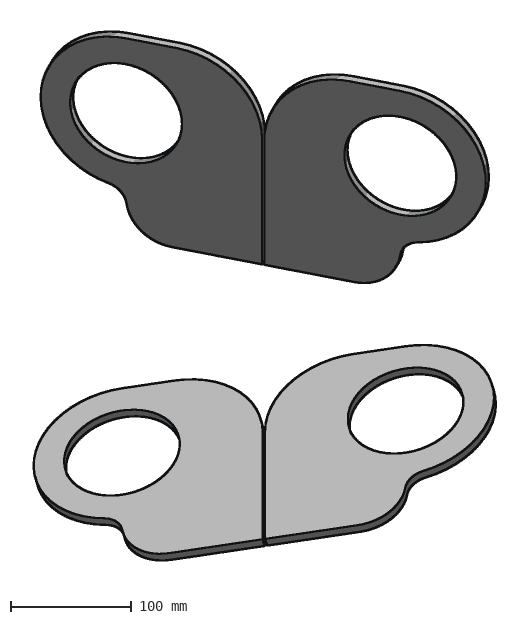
import cadquery as cq
import math

overall_width = 390.0
overall_height = 200.0
thickness = 8.0
gap = 2.0
lobe_radius = 75.0
hole_diameter = 98.0
foot_radius = 40.0
neck_radius = 20.0

inner_x = -gap / 2
lobe_x = -overall_width / 2 + lobe_radius
shoulder_x = inner_x - lobe_radius
lobe_z = overall_height - lobe_radius

foot_x = lobe_x + foot_radius
foot_z = foot_radius

center_distance = math.hypot(foot_x - lobe_x, foot_z - lobe_z)
lobe_to_neck = lobe_radius + neck_radius
foot_to_neck = foot_radius + neck_radius
angle_to_foot = math.atan2(foot_z - lobe_z, foot_x - lobe_x)
angle_at_lobe = math.acos(
    (lobe_to_neck**2 + center_distance**2 - foot_to_neck**2) / (2 * lobe_to_neck * center_distance)
)
neck_angle = angle_to_foot - angle_at_lobe
neck_x = lobe_x + lobe_to_neck * math.cos(neck_angle)
neck_z = lobe_z + lobe_to_neck * math.sin(neck_angle)
foot_angle = math.atan2(foot_z - neck_z, foot_x - neck_x)


def point_on_circle(x, z, radius, angle):
    return (x + radius * math.cos(angle), z + radius * math.sin(angle))


def make_left_plate():
    """Rounded plate with one large hole and a narrower foot."""
    shoulder_middle = point_on_circle(shoulder_x, lobe_z, lobe_radius, math.pi / 4)
    lobe_leftmost = (lobe_x - lobe_radius, lobe_z)
    lobe_end = point_on_circle(lobe_x, lobe_z, lobe_radius, neck_angle)
    neck_middle_angle = (neck_angle + math.pi + foot_angle) / 2
    neck_middle = point_on_circle(neck_x, neck_z, neck_radius, neck_middle_angle)
    neck_end = point_on_circle(neck_x, neck_z, neck_radius, foot_angle)
    foot_middle = point_on_circle(foot_x, foot_z, foot_radius, math.radians(225))

    outline = (
        cq.Workplane("XZ")
        .moveTo(inner_x, 0)
        .lineTo(inner_x, lobe_z)
        .threePointArc(shoulder_middle, (shoulder_x, overall_height))
        .lineTo(lobe_x, overall_height)
        .threePointArc(lobe_leftmost, lobe_end)
        .threePointArc(neck_middle, neck_end)
        .threePointArc(foot_middle, (foot_x, 0))
        .close()
    )
    blank = outline.extrude(-thickness)
    hole = (
        cq.Workplane("XZ")
        .center(lobe_x, lobe_z)
        .circle(hole_diameter / 2)
        .extrude(-thickness)
    )
    return blank.cut(hole)


def make_plates():
    """The left plate and its mirror image, as separate solids."""
    left_plate = make_left_plate()
    right_plate = left_plate.mirror("YZ")
    return [left_plate.val(), right_plate.val()]


plates = make_plates()
result = cq.Compound.makeCompound(plates)